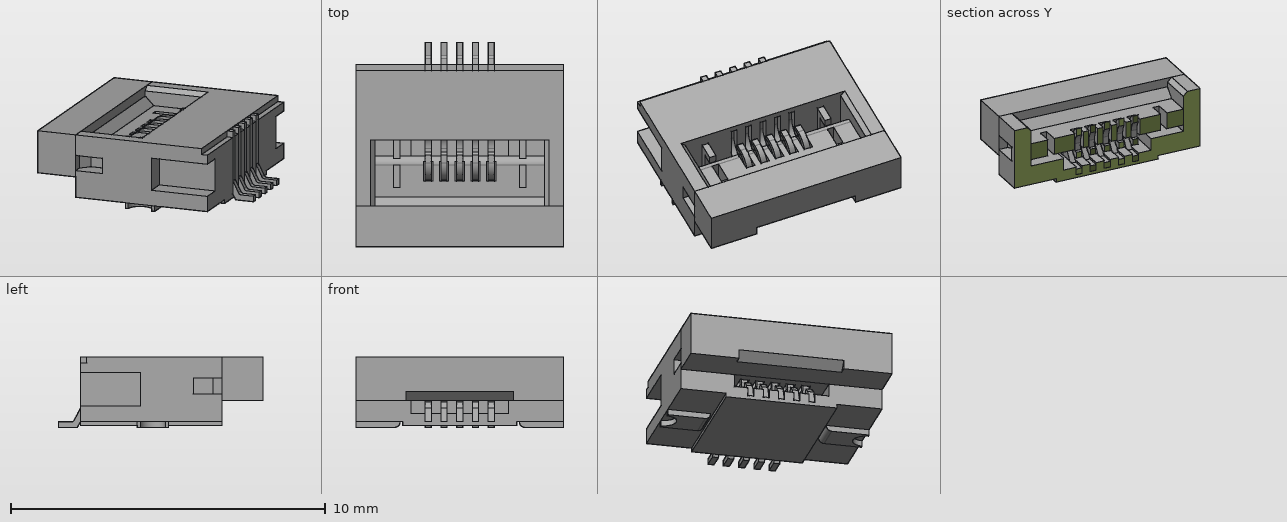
import cadquery as cq


WIDTH = 6.6
HEIGHT = 2.25
TOTAL_DEPTH = 6.5

HOUSING_FRONT = 1.3
HOUSING_REAR = 5.8
HOUSING_BOTTOM = 0.185
PAD_BOTTOM = 0.06
PAD_WIDTH = 3.63
REAR_STEP = 0.2
STEP_Z = HEIGHT - REAR_STEP
WINDOW_WIDTH = 5.4
WINDOW_REAR = 3.39
WINDOW_FLOOR = 0.86
WINDOW_CHAMFER = 0.145
CABLE_SLOT_WIDTH = 3.1
CABLE_SLOT_FLOOR = 0.45
CABLE_SLOT_REAR = 3.625
SIDE_HOLE_REAR = 2.21
SIDE_HOLE_BOTTOM = 1.07
SIDE_HOLE_TOP = 1.57
SIDE_RECESS_FRONT = 3.895
SIDE_RECESS_BOTTOM = 0.69
SIDE_RECESS_TOP = 1.755
SIDE_RECESS_DEPTH = 0.67

SLIDER_BOTTOM = 0.86
LEAD_IN_WIDTH = 3.43
LEAD_IN = 0.29
TONGUE_TOP = 1.65
TONGUE_BOTTOM = SIDE_HOLE_BOTTOM
TONGUE_TIP_RADIUS = (TONGUE_TOP - TONGUE_BOTTOM) / 2
TONGUE_END = 2.9
TONGUE_TIP_START = TONGUE_END - TONGUE_TIP_RADIUS
ROOT_FLARE = 0.29
CONTACT_SLOT_WIDTH = 0.3
CONTACT_SLOT_FRONT = 2.09
CONTACT_SLOT_REAR = 2.71
NAIL_SLOT_FRONT = 1.88
NAIL_SLOT_REAR = TONGUE_TIP_START

CONTACT_COUNT = 5
CONTACT_PITCH = 0.5
CONTACT_WIDTH = 0.2
FOOT_THICKNESS = 0.185
CONTACT_XS = [(i - (CONTACT_COUNT - 1) / 2) * CONTACT_PITCH for i in range(CONTACT_COUNT)]

NAIL_INNER_X = 1.895
NAIL_THICKNESS = 0.22
NAIL_OUTER_X = NAIL_INNER_X + NAIL_THICKNESS
NAIL_FOOT_FRONT = 2.995
NAIL_FOOT_REAR = 4.0
NAIL_STEM_FRONT = 3.195
NAIL_ARM_FRONT = 2.805
NAIL_ARM_BOTTOM = 1.6
NAIL_TOP = 1.855
NAIL_BEND_RADIUS = 0.18
NAIL_NOTCH_RADIUS = 0.4
SIDES = (-1, 1)


def block(x_range, y_range, z_range):
    """Box given by its lower and upper limits along each axis."""
    (x0, x1), (y0, y1), (z0, z1) = x_range, y_range, z_range
    return cq.Workplane("XY").box(x1 - x0, y1 - y0, z1 - z0, centered=False).translate((x0, y0, z0))


def centred(width, middle=0.0):
    """X limits of a feature of the given width."""
    return (middle - width / 2, middle + width / 2)


def side_range(side, inner, outer):
    """X limits between two distances from the middle, on the -X or +X side."""
    return tuple(sorted((side * inner, side * outer)))


def yz_sketch(x_start):
    """Workplane at the given X whose local axes are Y and Z; it extrudes toward +X."""
    return cq.Workplane("YZ").workplane(offset=x_start)


def make_contact(x_middle):
    """Contact blade: ramped lower arm, spring curled up through the tongue, spine and foot."""
    ramp_front, ramp_knee, ramp_crest, ramp_back = 1.35, 1.485, 1.715, 1.98
    knee_z, crest_z, lower_arm_top = 0.615, 0.805, 0.38
    spine_front = CABLE_SLOT_REAR
    spring_bottom, spring_top, fork_radius = 0.75, 0.98, 0.495
    horn_front, horn_back, horn_end = 2.67, 2.925, 3.01
    horn_top, horn_bottom, horn_end_radius = 1.88, 1.75, 0.165
    curl_radius, corner_radius = 0.55, 0.225
    curl_front = horn_front - curl_radius
    inner_radius, inner_centre = 0.515, 2.82
    curl_inner = inner_centre - inner_radius
    stub_front = HOUSING_REAR - REAR_STEP
    leg_top = 0.63
    bend_start, bend_start_z, bend_end, bend_radius = 5.99, 0.26, 6.085, 0.105
    heel = 5.9

    profile = (
        yz_sketch(x_middle - CONTACT_WIDTH / 2)
        .moveTo(ramp_front, HOUSING_BOTTOM)
        .lineTo(ramp_knee, knee_z)
        .lineTo(ramp_crest, crest_z)
        .lineTo(ramp_back, lower_arm_top)
        .lineTo(spine_front, lower_arm_top)
        .lineTo(spine_front, spring_bottom)
        .lineTo(curl_front + corner_radius, spring_bottom)
        .radiusArc((curl_front, spring_bottom + corner_radius), corner_radius)
        .lineTo(curl_front, horn_top - curl_radius)
        .radiusArc((horn_front, horn_top), curl_radius)
        .lineTo(horn_back, horn_top)
        .radiusArc((horn_end, horn_bottom), horn_end_radius)
        .lineTo(inner_centre, horn_bottom)
        .radiusArc((curl_inner, horn_bottom - inner_radius), -inner_radius)
        .lineTo(curl_inner, spring_top)
        .lineTo(spine_front - fork_radius, spring_top)
        .radiusArc((spine_front, spring_top + fork_radius), -fork_radius)
        .lineTo(spine_front, STEP_Z)
        .lineTo(stub_front, STEP_Z)
        .lineTo(stub_front, HEIGHT)
        .lineTo(HOUSING_REAR, HEIGHT)
        .lineTo(HOUSING_REAR, leg_top)
        .lineTo(bend_start, bend_start_z)
        .radiusArc((bend_end, FOOT_THICKNESS), -bend_radius)
        .lineTo(TOTAL_DEPTH, FOOT_THICKNESS)
        .lineTo(TOTAL_DEPTH, 0)
        .lineTo(heel, 0)
        .lineTo(HOUSING_REAR, HOUSING_BOTTOM)
        .close()
    )
    return profile.extrude(CONTACT_WIDTH)


def make_nail(side):
    """Solder nail on the -X or +X side, with its notched foot."""
    return make_nail_blank(side).cut(nail_notch(side))


def make_nail_blank(side):
    """Nail before notching: a foot bent up into a blade with an arm over the tongue tip."""
    foot = block(
        side_range(side, NAIL_INNER_X, WIDTH / 2), (NAIL_FOOT_FRONT, NAIL_FOOT_REAR), (0, HOUSING_BOTTOM)
    )
    inner_face = "<X" if side > 0 else ">X"
    foot = foot.faces(inner_face).edges("<Z").fillet(NAIL_BEND_RADIUS)
    blade = (
        yz_sketch(side_range(side, NAIL_INNER_X, NAIL_OUTER_X)[0])
        .moveTo(NAIL_STEM_FRONT, HOUSING_BOTTOM)
        .lineTo(NAIL_STEM_FRONT, NAIL_ARM_BOTTOM)
        .lineTo(NAIL_ARM_FRONT, NAIL_ARM_BOTTOM)
        .lineTo(NAIL_ARM_FRONT, NAIL_TOP)
        .lineTo(NAIL_FOOT_REAR, NAIL_TOP)
        .lineTo(NAIL_FOOT_REAR, HOUSING_BOTTOM)
        .close()
        .extrude(NAIL_THICKNESS)
    )
    return foot.union(blade)


def nail_notch(side):
    """Half-round solder notch in the outer end of the foot."""
    middle = (NAIL_FOOT_FRONT + NAIL_FOOT_REAR) / 2
    return (
        cq.Workplane("XY")
        .center(side * WIDTH / 2, middle)
        .circle(NAIL_NOTCH_RADIUS)
        .extrude(HOUSING_BOTTOM)
    )


def make_slider():
    """Bar across the front with a slotted, round-tipped tongue that reaches into the window."""
    bar = block(centred(WIDTH), (0, HOUSING_FRONT), (SLIDER_BOTTOM, HEIGHT))
    lead_in = (
        yz_sketch(-LEAD_IN_WIDTH / 2)
        .polyline([(0, SLIDER_BOTTOM), (LEAD_IN, SLIDER_BOTTOM), (0, SLIDER_BOTTOM + LEAD_IN)])
        .close()
        .extrude(LEAD_IN_WIDTH)
    )
    tongue = (
        yz_sketch(-WINDOW_WIDTH / 2)
        .moveTo(HOUSING_FRONT, TONGUE_BOTTOM)
        .lineTo(TONGUE_TIP_START, TONGUE_BOTTOM)
        .threePointArc((TONGUE_END, TONGUE_BOTTOM + TONGUE_TIP_RADIUS), (TONGUE_TIP_START, TONGUE_TOP))
        .lineTo(HOUSING_FRONT + ROOT_FLARE, TONGUE_TOP)
        .lineTo(HOUSING_FRONT, TONGUE_TOP + ROOT_FLARE)
        .close()
        .extrude(WINDOW_WIDTH)
    )
    slider = bar.cut(lead_in).union(tongue)
    for side in SIDES:
        slider = slider.union(side_flare(side))
    for x in CONTACT_XS:
        slider = slider.cut(
            block(
                centred(CONTACT_SLOT_WIDTH, x),
                (CONTACT_SLOT_FRONT, CONTACT_SLOT_REAR),
                (TONGUE_BOTTOM, TONGUE_TOP),
            )
        )
    for side in SIDES:
        slider = slider.cut(
            block(
                side_range(side, NAIL_INNER_X, NAIL_OUTER_X),
                (NAIL_SLOT_FRONT, NAIL_SLOT_REAR),
                (TONGUE_BOTTOM, TONGUE_TOP),
            )
        )
    return slider


def side_flare(side):
    """Flare at the tongue root that reaches into the side hole of the housing."""
    inner = side * WINDOW_WIDTH / 2
    corners = [
        (inner, HOUSING_FRONT),
        (inner + side * ROOT_FLARE, HOUSING_FRONT),
        (inner, HOUSING_FRONT + ROOT_FLARE),
    ]
    return (
        cq.Workplane("XY")
        .workplane(offset=SIDE_HOLE_BOTTOM)
        .polyline(corners)
        .close()
        .extrude(SIDE_HOLE_TOP - SIDE_HOLE_BOTTOM)
    )


def make_housing():
    """Housing with its window, cable slot, contact slots, side openings and nail seats."""
    depth = (HOUSING_FRONT, HOUSING_REAR)
    housing = block(centred(WIDTH), depth, (HOUSING_BOTTOM, HEIGHT))
    housing = housing.union(block(centred(PAD_WIDTH), depth, (PAD_BOTTOM, HOUSING_BOTTOM)))
    housing = housing.cut(block(centred(WIDTH), (HOUSING_REAR - REAR_STEP, HOUSING_REAR), (STEP_Z, HEIGHT)))
    housing = housing.cut(window())
    housing = housing.cut(
        block(
            centred(CABLE_SLOT_WIDTH), (HOUSING_FRONT, CABLE_SLOT_REAR), (CABLE_SLOT_FLOOR, WINDOW_FLOOR)
        )
    )
    for x in CONTACT_XS:
        housing = housing.cut(block(centred(CONTACT_WIDTH, x), depth, (HOUSING_BOTTOM, STEP_Z)))
    for side in SIDES:
        housing = housing.cut(
            block(
                side_range(side, WINDOW_WIDTH / 2, WIDTH / 2),
                (HOUSING_FRONT, SIDE_HOLE_REAR),
                (SIDE_HOLE_BOTTOM, SIDE_HOLE_TOP),
            )
        )
        housing = housing.cut(
            block(
                side_range(side, WIDTH / 2 - SIDE_RECESS_DEPTH, WIDTH / 2),
                (SIDE_RECESS_FRONT, HOUSING_REAR),
                (SIDE_RECESS_BOTTOM, SIDE_RECESS_TOP),
            )
        )
        housing = housing.cut(make_nail_blank(side))
    return housing


def window():
    """Opening above the tongue, chamfered along the top of its two side walls."""
    half = WINDOW_WIDTH / 2
    corners = [
        (-half, WINDOW_FLOOR),
        (half, WINDOW_FLOOR),
        (half, HEIGHT - WINDOW_CHAMFER),
        (half + WINDOW_CHAMFER, HEIGHT),
        (-half - WINDOW_CHAMFER, HEIGHT),
        (-half, HEIGHT - WINDOW_CHAMFER),
    ]
    return (
        cq.Workplane("XZ", origin=(0, WINDOW_REAR, 0))
        .polyline(corners)
        .close()
        .extrude(WINDOW_REAR - HOUSING_FRONT)
    )


housing = make_housing()
slider = make_slider()
contacts = [make_contact(x) for x in CONTACT_XS]
nails = [make_nail(side) for side in SIDES]

result = cq.Compound.makeCompound(
    [housing.val(), slider.val(), *[contact.val() for contact in contacts], *[nail.val() for nail in nails]]
)